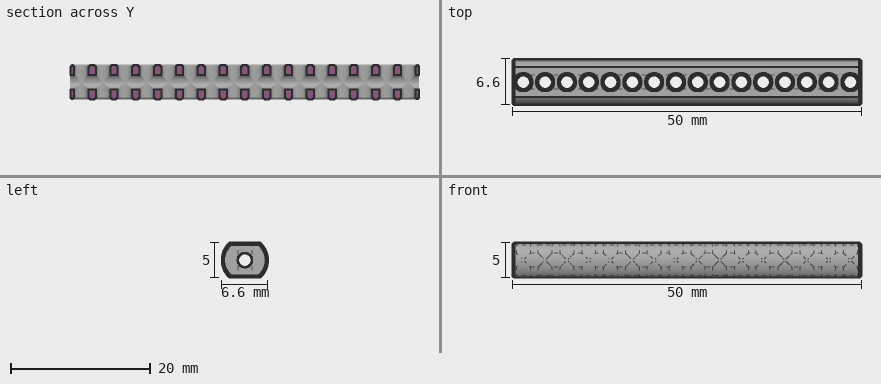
import cadquery as cq

bar_length = 50.0
bar_diameter = 6.6
flat_height = 5.0
end_chamfer = 0.3
hole_diameter = 2.0
hole_count = 16
hole_pitch = 3.125
countersink_diameter = 2.6
countersink_depth = 0.3

bar_end = bar_length / 2
bar_radius = bar_diameter / 2
hole_radius = hole_diameter / 2
first_hole_x = -hole_pitch * (hole_count - 1) / 2


def chamfered_bar():
    """Round bar along X, flat on top and bottom, with chamfered ends."""
    rod = cq.Workplane("YZ").circle(bar_radius).extrude(bar_end, both=True)
    slab = cq.Workplane("XY").box(bar_length, bar_diameter, flat_height)
    return rod.intersect(slab).faces("<X or >X").chamfer(end_chamfer)


def axial_bore():
    """Through hole along the bar axis."""
    return cq.Workplane("YZ").circle(hole_radius).extrude(bar_end, both=True)


def cross_hole(x):
    """Vertical through hole at x, countersunk from both flats."""
    sink_radius = countersink_diameter / 2
    top = flat_height / 2
    sink_bottom = top - countersink_depth
    half_section = (
        cq.Workplane("XZ")
        .moveTo(0, -top)
        .lineTo(sink_radius, -top)
        .lineTo(hole_radius, -sink_bottom)
        .lineTo(hole_radius, sink_bottom)
        .lineTo(sink_radius, top)
        .lineTo(0, top)
        .close()
    )
    return half_section.revolve(360, (0, 0, 0), (0, 1, 0)).translate((x, 0, 0))


result = chamfered_bar().cut(axial_bore())

for index in range(hole_count):
    result = result.cut(cross_hole(first_hole_x + index * hole_pitch))